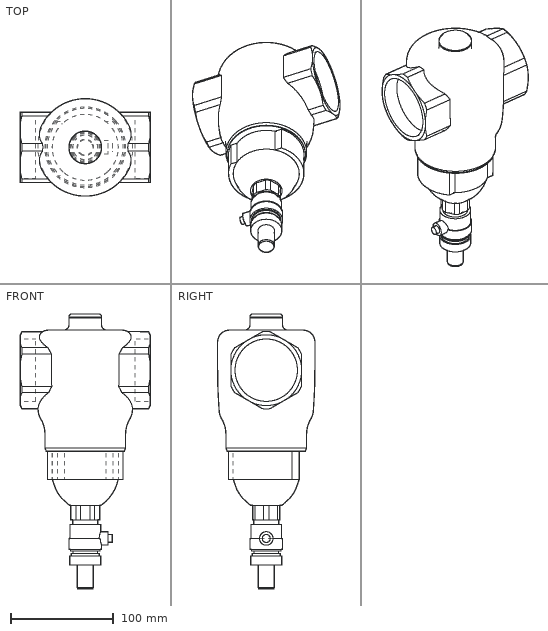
import cadquery as cq
import math

TOTAL_HEIGHT = 268.0
PORT_LENGTH = 127.0

HOUSING_RADIUS = 95.14 / 2
HOUSING_BOTTOM_Z = 133.8
HOUSING_TOP_Z = 252.3
HOUSING_TOP_FILLET = 12.0
TAPER_TOP_Z = 213.1
TAPER_BOTTOM_Z = 173.4
TAPER_BOTTOM_RADIUS = 46.0
SHOULDER_Z = 167.0
SHOULDER_RADIUS = 44.3
SHOULDER_BULGE = 0.35
NECK_TOP_Z = 151.0
NECK_RADIUS = 39.4
NECK_CHAMFER_TOP_Z = 137.1
NECK_CHAMFER_BOTTOM_Z = 134.6
NECK_BOTTOM_RADIUS = 38.2

BOSS_RADIUS = 16.0
BOSS_FOOT_FILLET = 4.8
BOSS_TOP_FILLET = 3.0
BOSS_GROOVE_DEPTH = 0.25
BOSS_GROOVE_WIDTH = 1.2

PORT_FLAT = 34.3
PORT_CORNER_RADIUS = 37.7
PORT_END_RADIUS = 34.5
PORT_CHAMFER_LENGTH = 1.8
PORT_BORE_RADIUS = 30.4
PORT_BORE_DEPTH = 15.0

BOWL_RADIUS = 32.2
BOWL_RIM_Z = 106.5
DOME_MIDDLE_RADIUS = 26.2
DOME_MIDDLE_Z = 92.4
DOME_BOTTOM_RADIUS = 15.4
SLEEVE_RADIUS = 36.8
SLEEVE_OPENING_Y = 25.2

HEX_TOP_Z = 81.4
HEX_BOTTOM_Z = 67.4
HEX_FLAT = 13.35
HEX_CORNER_RADIUS = 14.2
VALVE_STEPS = [
    (12.2, 62.9),
    (15.1, 49.0),
    (16.0, 38.5),
    (14.4, 36.9),
    (12.0, 34.7),
    (13.7, 32.2),
    (15.2, 23.3),
    (8.0, 0.0),
]
TIP_CHAMFER_WIDTH = 0.6
TIP_CHAMFER_HEIGHT = 1.6
STEM_Z = 49.2
STEM_COLLAR_RADIUS = 6.6
STEM_COLLAR_END_X = 22.3
STEM_RADIUS = 3.9
STEM_END_X = 26.4


TANGENT_ARC_SHARE = 0.25


def turned_hexagon(workplane, flat, corner_radius, length):
    """Hexagonal bar with its corners turned down to a cylinder; corners lie on the local X axis."""
    corner_diameter = 2 * flat / math.cos(math.pi / 6)
    hexagon = workplane.polygon(6, corner_diameter).extrude(length)
    return hexagon.intersect(workplane.circle(corner_radius).extrude(length))


def housing_shell():
    """Solid of revolution from the neck up to the flat top."""
    taper_height = TAPER_TOP_Z - TAPER_BOTTOM_Z
    shoulder_middle = (
        (TAPER_BOTTOM_RADIUS + SHOULDER_RADIUS) / 2 + SHOULDER_BULGE,
        (TAPER_BOTTOM_Z + SHOULDER_Z) / 2,
    )
    taper_middle = (
        HOUSING_RADIUS - (HOUSING_RADIUS - TAPER_BOTTOM_RADIUS) * TANGENT_ARC_SHARE,
        TAPER_BOTTOM_Z + taper_height / 2,
    )
    neck_flare_middle = (
        NECK_RADIUS + (SHOULDER_RADIUS - NECK_RADIUS) * TANGENT_ARC_SHARE,
        (NECK_TOP_Z + SHOULDER_Z) / 2,
    )
    profile = (
        cq.Workplane("XZ")
        .moveTo(0, HOUSING_BOTTOM_Z)
        .lineTo(NECK_BOTTOM_RADIUS, HOUSING_BOTTOM_Z)
        .lineTo(NECK_BOTTOM_RADIUS, NECK_CHAMFER_BOTTOM_Z)
        .lineTo(NECK_RADIUS, NECK_CHAMFER_TOP_Z)
        .lineTo(NECK_RADIUS, NECK_TOP_Z)
        .threePointArc(neck_flare_middle, (SHOULDER_RADIUS, SHOULDER_Z))
        .threePointArc(shoulder_middle, (TAPER_BOTTOM_RADIUS, TAPER_BOTTOM_Z))
        .threePointArc(taper_middle, (HOUSING_RADIUS, TAPER_TOP_Z))
        .lineTo(HOUSING_RADIUS, HOUSING_TOP_Z - HOUSING_TOP_FILLET)
        .radiusArc((HOUSING_RADIUS - HOUSING_TOP_FILLET, HOUSING_TOP_Z), -HOUSING_TOP_FILLET)
        .lineTo(0, HOUSING_TOP_Z)
        .close()
    )
    return profile.revolve(360, (0, 0, 0), (0, 1, 0))


def top_boss():
    """Round boss with a concave foot, a shallow groove and a rounded top edge."""
    groove_radius = BOSS_RADIUS - BOSS_GROOVE_DEPTH
    groove_top_z = TOTAL_HEIGHT - BOSS_TOP_FILLET
    groove_bottom_z = groove_top_z - BOSS_GROOVE_WIDTH
    profile = (
        cq.Workplane("XZ")
        .moveTo(0, HOUSING_TOP_Z)
        .lineTo(BOSS_RADIUS + BOSS_FOOT_FILLET, HOUSING_TOP_Z)
        .radiusArc((BOSS_RADIUS, HOUSING_TOP_Z + BOSS_FOOT_FILLET), BOSS_FOOT_FILLET)
        .lineTo(BOSS_RADIUS, groove_bottom_z)
        .lineTo(groove_radius, groove_bottom_z)
        .lineTo(groove_radius, groove_top_z)
        .lineTo(BOSS_RADIUS, groove_top_z)
        .radiusArc((BOSS_RADIUS - BOSS_TOP_FILLET, TOTAL_HEIGHT), -BOSS_TOP_FILLET)
        .lineTo(0, TOTAL_HEIGHT)
        .close()
    )
    return profile.revolve(360, (0, 0, 0), (0, 1, 0))


def port_bar():
    """Hexagonal bar along X, corners up and down, with turned chamfers at both ends."""
    end_x = PORT_LENGTH / 2
    axis_start = cq.Workplane(cq.Plane((-end_x, 0, TAPER_TOP_Z), xDir=(0, 0, 1), normal=(1, 0, 0)))
    bar = turned_hexagon(axis_start, PORT_FLAT, PORT_CORNER_RADIUS, PORT_LENGTH)
    chamfer_x = end_x - PORT_CHAMFER_LENGTH
    envelope = (
        cq.Workplane("XZ", origin=(0, 0, TAPER_TOP_Z))
        .moveTo(-end_x, 0)
        .lineTo(-end_x, PORT_END_RADIUS)
        .lineTo(-chamfer_x, PORT_CORNER_RADIUS)
        .lineTo(chamfer_x, PORT_CORNER_RADIUS)
        .lineTo(end_x, PORT_END_RADIUS)
        .lineTo(end_x, 0)
        .close()
        .revolve(360, (0, 0, 0), (1, 0, 0))
    )
    return bar.intersect(envelope)


def port_bore(side):
    """Blind round bore entering the port on the given side (-1 or +1 along X)."""
    mouth = cq.Plane((side * PORT_LENGTH / 2, 0, TAPER_TOP_Z), normal=(-side, 0, 0))
    return cq.Workplane(mouth).circle(PORT_BORE_RADIUS).extrude(PORT_BORE_DEPTH)


def make_housing():
    body = housing_shell().union(port_bar()).union(top_boss())
    for side in (-1, 1):
        body = body.cut(port_bore(side))
    return body


def make_bowl():
    """Round bowl under the housing, closed by a domed bottom."""
    profile = (
        cq.Workplane("XZ")
        .moveTo(0, HEX_TOP_Z)
        .lineTo(DOME_BOTTOM_RADIUS, HEX_TOP_Z)
        .threePointArc((DOME_MIDDLE_RADIUS, DOME_MIDDLE_Z), (BOWL_RADIUS, BOWL_RIM_Z))
        .lineTo(BOWL_RADIUS, HOUSING_BOTTOM_Z)
        .lineTo(0, HOUSING_BOTTOM_Z)
        .close()
    )
    return profile.revolve(360, (0, 0, 0), (0, 1, 0))


def make_sleeve():
    """C-shaped sleeve around the bowl, open towards +Y."""
    height = HOUSING_BOTTOM_Z - BOWL_RIM_Z
    base = cq.Workplane("XY", origin=(0, 0, BOWL_RIM_Z))
    ring = base.circle(SLEEVE_RADIUS).circle(BOWL_RADIUS).extrude(height)
    opening_depth = SLEEVE_RADIUS - SLEEVE_OPENING_Y
    opening = (
        base.center(0, SLEEVE_OPENING_Y + opening_depth / 2)
        .rect(2 * SLEEVE_RADIUS, opening_depth)
        .extrude(height)
    )
    return ring.cut(opening)


def make_drain_valve():
    """Hexagon, turned steps down to the hose tip, and a stepped stem towards +X."""
    hexagon_base = cq.Workplane("XY", origin=(0, 0, HEX_BOTTOM_Z))
    valve = turned_hexagon(hexagon_base, HEX_FLAT, HEX_CORNER_RADIUS, HEX_TOP_Z - HEX_BOTTOM_Z)
    step_top_z = HEX_BOTTOM_Z
    for radius, step_bottom_z in VALVE_STEPS:
        step = cq.Workplane("XY", origin=(0, 0, step_bottom_z)).circle(radius)
        valve = valve.union(step.extrude(step_top_z - step_bottom_z))
        step_top_z = step_bottom_z
    valve = valve.faces("<Z").chamfer(TIP_CHAMFER_HEIGHT, TIP_CHAMFER_WIDTH)
    stem_axis = cq.Workplane("YZ", origin=(0, 0, STEM_Z))
    valve = valve.union(stem_axis.circle(STEM_COLLAR_RADIUS).extrude(STEM_COLLAR_END_X))
    return valve.union(stem_axis.circle(STEM_RADIUS).extrude(STEM_END_X))


housing = make_housing()
bowl = make_bowl()
sleeve = make_sleeve()
drain_valve = make_drain_valve()

result = cq.Compound.makeCompound([housing.val(), bowl.val(), sleeve.val(), drain_valve.val()])